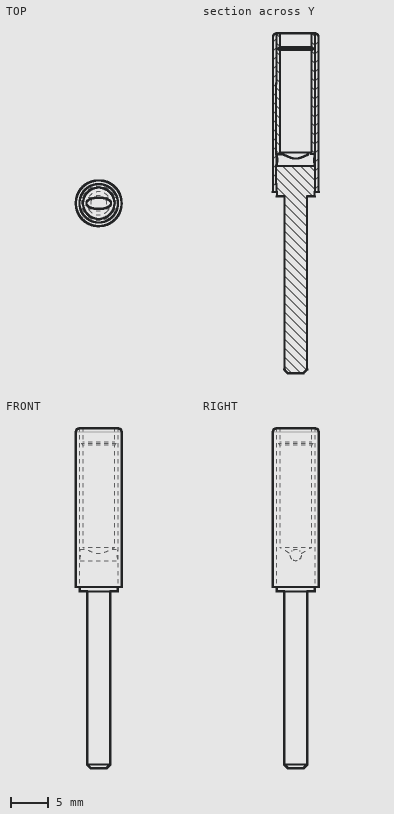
import cadquery as cq
import math

total_height = 45.05
sleeve_length = 21.05
shoulder_height = 0.55
sleeve_bottom = total_height - sleeve_length
shoulder_bottom = sleeve_bottom - shoulder_height

barrel_radius = 2.55
pin_radius = 1.55
pin_tip_chamfer = 0.5

sleeve_radius = 3.05
sleeve_rim_radius = sleeve_radius - barrel_radius

socket_radius = 2.075
groove_top_depth = 1.85
groove_width = 0.4
groove_depth = groove_width / 2
cone_angle = 118.0
cone_apex_height = sleeve_bottom + 4.0

vent_radius = 0.75
floor_opening_half_length = 1.65

cone_slope = 1 / math.tan(math.radians(cone_angle / 2))
vent_height = cone_apex_height + cone_slope * floor_opening_half_length - vent_radius


def make_sleeve():
    """Tube around the barrel, turned as one profile, with a quarter-round top rim."""
    rim_center_height = total_height - sleeve_rim_radius
    rim_offset = sleeve_rim_radius * math.sqrt(0.5)
    return (
        cq.Workplane("XZ")
        .moveTo(barrel_radius, sleeve_bottom)
        .lineTo(sleeve_radius, sleeve_bottom)
        .lineTo(sleeve_radius, rim_center_height)
        .threePointArc(
            (barrel_radius + rim_offset, rim_center_height + rim_offset),
            (barrel_radius, total_height),
        )
        .close()
        .revolve(360, (0, 0, 0), (0, 1, 0))
    )


def make_contact_blank():
    """Barrel and chamfered pin, turned as one profile; X is the radius and Z the height."""
    return (
        cq.Workplane("XZ")
        .lineTo(pin_radius - pin_tip_chamfer, 0)
        .lineTo(pin_radius, pin_tip_chamfer)
        .lineTo(pin_radius, shoulder_bottom)
        .lineTo(barrel_radius, shoulder_bottom)
        .lineTo(barrel_radius, total_height)
        .lineTo(0, total_height)
        .close()
        .revolve(360, (0, 0, 0), (0, 1, 0))
    )


def make_socket_cavity():
    """Round bore with a ring groove in its wall and a conical floor."""
    groove_top = total_height - groove_top_depth
    return (
        cq.Workplane("XZ")
        .moveTo(0, cone_apex_height)
        .lineTo(socket_radius, cone_apex_height + cone_slope * socket_radius)
        .lineTo(socket_radius, groove_top - groove_width)
        .lineTo(socket_radius + groove_depth, groove_top - groove_width / 2)
        .lineTo(socket_radius, groove_top)
        .lineTo(socket_radius, total_height)
        .lineTo(0, total_height)
        .close()
        .revolve(360, (0, 0, 0), (0, 1, 0))
    )


def make_vent():
    """Hole along X, right through the barrel and closed off by the sleeve."""
    return (
        cq.Workplane("YZ", origin=(-barrel_radius, 0, 0))
        .center(0, vent_height)
        .circle(vent_radius)
        .extrude(2 * barrel_radius)
    )


sleeve = make_sleeve()
contact = make_contact_blank().cut(make_socket_cavity()).cut(make_vent())

result = cq.Compound.makeCompound([sleeve.val(), contact.val()])